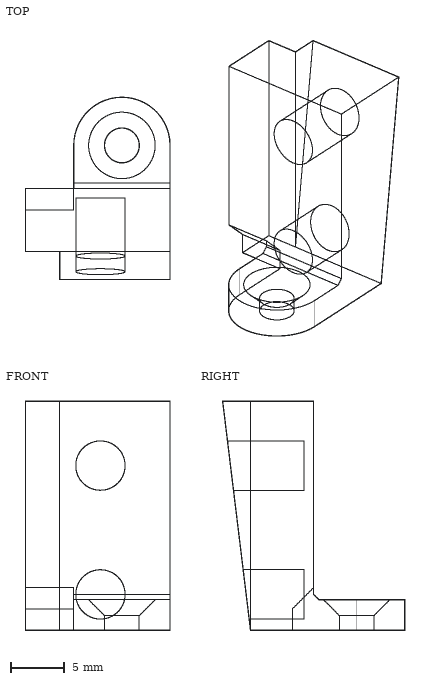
import cadquery as cq
import math

width = 13.5
height = 21.36
block_depth = 5.9

wedge_top_depth = 2.6
strip_width = 3.2

lug_width = 9.0
lug_thickness = 2.86
lug_reach = 8.5
screw_diameter = 3.22
countersink_diameter = 6.2
countersink_angle = 90.0
corner_fill = 0.5

relief_depth = 2.0
relief_wall_height = 2.0

blind_diameter = 4.6
blind_x = 7.0
blind_lower_z = 3.36
blind_spacing = 12.0
blind_floor_y = 5.0

lug_radius = lug_width / 2
lug_center_x = width - lug_radius
lug_left_x = width - lug_width
lug_center_y = block_depth + lug_reach - lug_radius


def prism_along_x(points, x_start, x_end):
    """Extrude a closed (Y, Z) outline from x_start to x_end."""
    plane = cq.Workplane("YZ", origin=(x_start, 0, 0))
    return plane.polyline(points).close().extrude(x_end - x_start)


def make_block():
    """Plain upright block."""
    return cq.Workplane("XY").box(width, block_depth, height, centered=False)


def make_wedge():
    """Tapered pad in front of the block, thickest at the top."""
    outline = [(0, 0), (0, height), (-wedge_top_depth, height)]
    return prism_along_x(outline, strip_width, width)


def make_relief():
    """Step with a 45 degree roof, removed beside the lug."""
    outline = [
        (block_depth, 0),
        (block_depth - relief_depth, 0),
        (block_depth - relief_depth, relief_wall_height),
        (block_depth, relief_wall_height + relief_depth),
    ]
    return prism_along_x(outline, 0, lug_left_x)


def make_lug():
    """Round-ended lug with the small fill where it meets the block."""
    lug = (
        cq.Workplane("XY")
        .moveTo(lug_left_x, block_depth)
        .lineTo(width, block_depth)
        .lineTo(width, lug_center_y)
        .threePointArc((lug_center_x, lug_center_y + lug_radius), (lug_left_x, lug_center_y))
        .close()
        .extrude(lug_thickness)
    )
    fill_outline = [
        (block_depth, lug_thickness),
        (block_depth + corner_fill, lug_thickness),
        (block_depth, lug_thickness + corner_fill),
    ]
    return lug.union(prism_along_x(fill_outline, lug_left_x, width))


def cut_screw_hole(body):
    """Countersunk through hole, concentric with the round lug end."""
    lug_top = cq.Workplane("XY", origin=(lug_center_x, lug_center_y, lug_thickness))
    drill = lug_top.circle(screw_diameter / 2).extrude(-lug_thickness)
    half_angle = countersink_angle / 2
    cone_depth = (countersink_diameter - screw_diameter) / 2 / math.tan(math.radians(half_angle))
    cone = lug_top.circle(countersink_diameter / 2).extrude(-cone_depth, taper=half_angle)
    return body.cut(drill).cut(cone)


def cut_blind_holes(body):
    """Two flat-bottomed holes, one above the other, bored along Y."""
    bore_length = blind_floor_y + wedge_top_depth
    for z in (blind_lower_z, blind_lower_z + blind_spacing):
        floor = cq.Workplane("XZ", origin=(blind_x, blind_floor_y, z))
        body = body.cut(floor.circle(blind_diameter / 2).extrude(bore_length))
    return body


body = make_block().union(make_wedge()).cut(make_relief()).union(make_lug())
body = cut_screw_hole(body)
result = cut_blind_holes(body)